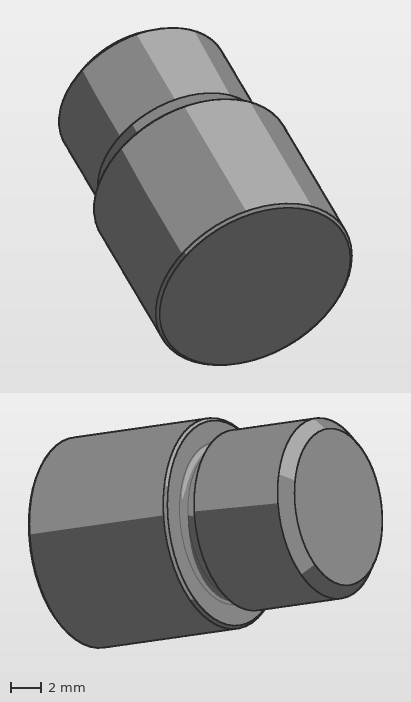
import cadquery as cq
import math

total_length = 20.0
head_length = 11.0
head_radius = 7.0
head_chamfer = 0.2
shank_radius = 6.0
shank_chamfer = 0.8

groove_radius = 5.0
groove_floor_start = 8.0
groove_flank_angle = 30.0
groove_fillet = 0.4

shoulder_x = total_length - head_length
groove_depth = shank_radius - groove_radius
flank_run = groove_depth * math.tan(math.radians(groove_flank_angle))
fillet_start_x = shoulder_x - groove_fillet
fillet_middle = (
    shoulder_x - groove_fillet * (1 - math.sin(math.pi / 4)),
    groove_radius + groove_fillet * (1 - math.cos(math.pi / 4)),
)

profile = (
    cq.Workplane("XY")
    .lineTo(0, shank_radius - shank_chamfer)
    .lineTo(shank_chamfer, shank_radius)
    .lineTo(groove_floor_start - flank_run, shank_radius)
    .lineTo(groove_floor_start, groove_radius)
    .lineTo(fillet_start_x, groove_radius)
    .threePointArc(fillet_middle, (shoulder_x, groove_radius + groove_fillet))
    .lineTo(shoulder_x, head_radius - head_chamfer)
    .lineTo(shoulder_x + head_chamfer, head_radius)
    .lineTo(total_length - head_chamfer, head_radius)
    .lineTo(total_length, head_radius - head_chamfer)
    .lineTo(total_length, 0)
    .close()
)

result = profile.revolve(360, (0, 0, 0), (1, 0, 0))